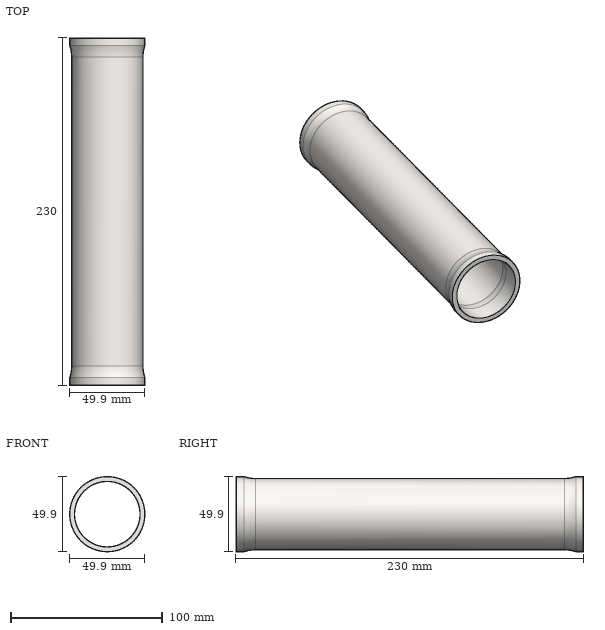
import cadquery as cq
import math

length = 230.0
body_radius = 23.7

collar_radius = 24.95
collar_length = 5.0
flare_length = 7.5

mouth_radius = 21.6
mouth_length = 14.3
bore_radius = 22.3
bore_cone_length = 6.2

half_length = length / 2
collar_start = half_length - collar_length
flare_start = collar_start - flare_length
mouth_start = half_length - mouth_length
bore_end = mouth_start - bore_cone_length

flare_rise = collar_radius - body_radius
flare_radius = (flare_length**2 + flare_rise**2) / (2 * flare_rise)
flare_middle_y = flare_length / 2
flare_middle_rise = flare_radius - math.sqrt(flare_radius**2 - flare_middle_y**2)

wall_section = (
    cq.Workplane("XY")
    .moveTo(mouth_radius, -half_length)
    .lineTo(collar_radius, -half_length)
    .lineTo(collar_radius, -collar_start)
    .threePointArc(
        (body_radius + flare_middle_rise, -flare_start - flare_middle_y),
        (body_radius, -flare_start),
    )
    .lineTo(body_radius, flare_start)
    .threePointArc(
        (body_radius + flare_middle_rise, flare_start + flare_middle_y),
        (collar_radius, collar_start),
    )
    .lineTo(collar_radius, half_length)
    .lineTo(mouth_radius, half_length)
    .lineTo(mouth_radius, mouth_start)
    .lineTo(bore_radius, bore_end)
    .lineTo(bore_radius, -bore_end)
    .lineTo(mouth_radius, -mouth_start)
    .close()
)

result = wall_section.revolve(360, (0, 0, 0), (0, 1, 0))